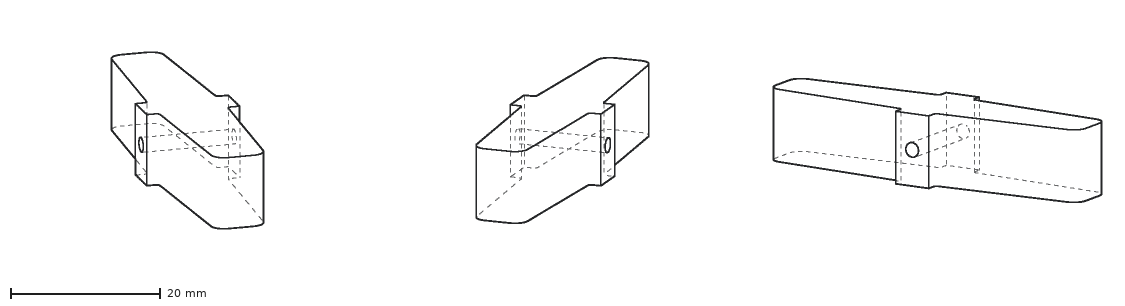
import cadquery as cq

length = 48.7
width = 13.0
height = 10.0

middle_half_width = 4.95
end_half_width = 3.55
end_corner_radius = 1.85

lug_length = 5.2
lug_root_radius = 0.5
hole_diameter = 2.0


def tapered_body():
    """Bar that is widest at mid-length, with rounded vertical end corners."""
    half_length = length / 2
    outline = [
        (-half_length, -end_half_width),
        (0, -middle_half_width),
        (half_length, -end_half_width),
        (half_length, end_half_width),
        (0, middle_half_width),
        (-half_length, end_half_width),
    ]
    body = cq.Workplane("XY").polyline(outline).close().extrude(height)
    return body.edges("|Z and (<X or >X)").fillet(end_corner_radius)


def add_lugs(body):
    """Block across the middle, projecting on both sides with filleted roots."""
    block = cq.Workplane("XY").box(lug_length, width, height, centered=(True, True, False))
    root_zone = cq.selectors.BoxSelector(
        (-lug_length, -(middle_half_width + lug_root_radius), 0),
        (lug_length, middle_half_width + lug_root_radius, height),
    )
    return body.union(block).edges("|Z").edges(root_zone).fillet(lug_root_radius)


def cross_hole():
    """Hole running through both lugs along Y at mid-height."""
    return (
        cq.Workplane("XZ")
        .center(0, height / 2)
        .circle(hole_diameter / 2)
        .extrude(width / 2, both=True)
    )


result = add_lugs(tapered_body()).cut(cross_hole())